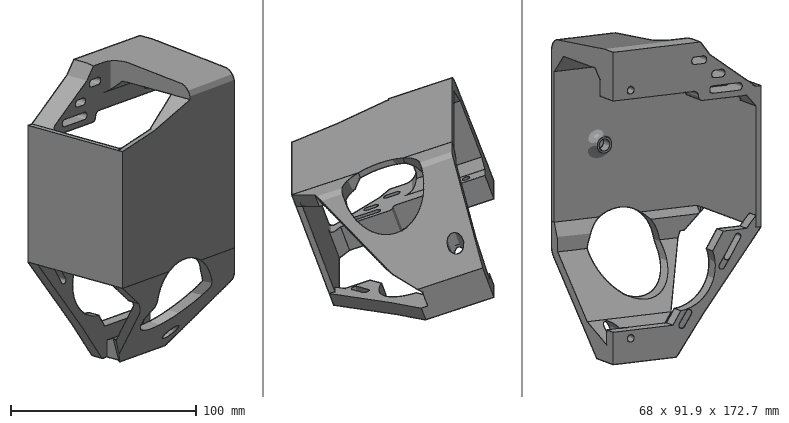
import cadquery as cq
import math

WIDTH = 68.0
DEPTH = 91.9
HEIGHT = 172.7

PLATE_THICKNESS = 3.3
SIDE_THICKNESS = 3.3
UPPER_ARM_THICKNESS = 14.5
LOWER_ARM_THICKNESS = 7.3
LOWER_SIDE_THICKNESS = 7.0
CORNER_FILLET = 2.8

PLATE_BOTTOM = 66.7
PLATE_TOP = 144.5
SLAB_FRONT = 55.5
SLAB_UNDERSIDE = 160.3
SIDE_STEP_Y = 25.9
SIDE_STEP_Z = 150.0
GUSSET_RUN = 5.9
GUSSET_RISE = 6.5
SIDE_INNER_X = WIDTH - SIDE_THICKNESS
LOWER_SIDE_INNER_X = WIDTH - LOWER_SIDE_THICKNESS

ARM_NOSE_Y = 31.8
ARM_NOSE_Z = 165.1
ARM_TOP_FRONT_Y = 37.7
WINDOW_TOP = 145.8
STEP_Y = 39.0
STEP_RADIUS = 2.8

ARM_BEND_Y = 36.1
ARM_BEND_Z = 22.1
ARM_HEEL_Y = 51.8
ARM_HEEL_CHAMFER = 1.0
WINDOW_BOTTOM = 18.0
WINDOW_BOTTOM_FRONT_Y = 54.8
WINDOW_SLOPE_TOP_Y = 23.5

RIDGE_X = 9.2
SHOULDER_X = 62.2
SHOULDER_Z = 168.0
SHOULDER_RUN = WIDTH - SHOULDER_X
SHOULDER_RISE = SHOULDER_Z - SLAB_UNDERSIDE
SHOULDER_RADIUS = (SHOULDER_RUN**2 + SHOULDER_RISE**2) / (2 * SHOULDER_RUN)
ROOF_SLOPE = (SHOULDER_Z - HEIGHT) / (SHOULDER_X - RIDGE_X)
SLAB_CORNER_RADIUS = 9.5
SLAB_CHAMFER = 5.4

BORE_Y = 51.1
BORE_Z = 48.0
BORE_RADIUS = 22.6

SCREW_Y = 81.0
SCREW_HOLE_DIAMETER = 4.1
UPPER_SCREW_Z = 150.6
LOWER_SCREW_Z = 13.5
SCREW_BOSS_DIAMETER = 9.0
SCREW_BOSS_HEIGHT = 0.9
BOSS_Y = 64.6
BOSS_Z = 107.8
BOSS_DIAMETER = 9.0
BOSS_HOLE_DIAMETER = 6.5
BOSS_FLARE_RADIUS = 4.1
BOSS_HEIGHT = 6.9

UPPER_SLOT_WIDTH = 4.1
UPPER_SLOTS = [
    ((36.0, 162.7), (41.1, 162.7)),
    ((24.5, 154.0), (28.7, 154.0)),
    ((13.8, 145.6), (29.9, 145.6)),
]
LOWER_SLOT_WIDTH = 3.6
LOWER_SLOT = ((14.5, 62.7), (21.0, 52.3))
BLIND_SLOTS = [
    ((21.0, 52.3), (24.4, 47.5)),
    ((44.9, 23.8), (49.2, 17.5)),
]
BLIND_SLOT_DEPTH = 0.2

FLOOR_LEFT_Z = 9.7
FLOOR_BEND_X = 28.5
FLOOR_BEND_Z = 18.5
DIAGONAL_TOP_Z = FLOOR_BEND_Z + LOWER_SIDE_INNER_X - FLOOR_BEND_X
OUTER_FOOT_X = 18.1
OUTER_CORNER_RADIUS = 8.6
FLOOR_FRONT_Y = 56.5
STRIP_BEND_Y = 39.9
STRIP_SLOPE = 0.35
TOE_FOOT_Y = 54.4
TOE_SLOPE_X = 0.87
TOE_SLOPE_Z = 0.3
SIDE_FOOT_Z = 54.5
LEDGE_FRONT_Z = 62.9
LEDGE_BACK_X = 62.0
LEDGE_BACK_Z = 59.8
LEDGE_ARC_X = 61.3
LEDGE_ARC_Z = 58.0
LEDGE_BACK_END_Z = 56.0


def prism_along_x(points, x_start, x_end):
    """Straight-sided (Y, Z) outline swept from x_start to x_end."""
    outline = cq.Workplane("YZ").workplane(offset=x_start).polyline(points).close()
    return outline.extrude(x_end - x_start)


def prism_along_y(points, y_start, y_end):
    """Straight-sided (X, Z) outline swept from y_start to y_end."""
    outline = cq.Workplane("XZ").workplane(offset=-y_start).polyline(points).close()
    return outline.extrude(y_start - y_end)


def block(x_start, x_end, y_start, y_end, z_start, z_end):
    size = (x_end - x_start, y_end - y_start, z_end - z_start)
    return cq.Workplane("XY").box(*size, centered=False).translate((x_start, y_start, z_start))


def rod_along_x(y, z, diameter, x_start, x_end):
    rod = cq.Workplane("YZ").workplane(offset=x_start).center(y, z).circle(diameter / 2)
    return rod.extrude(x_end - x_start)


def slot_along_x(ends, width, depth):
    """Round-ended slot between two end centres, cut inward from the X = 0 face."""
    (y_a, z_a), (y_b, z_b) = ends
    length = math.hypot(y_b - y_a, z_b - z_a) + width
    angle = math.degrees(math.atan2(z_b - z_a, y_b - y_a))
    middle = cq.Workplane("YZ").center((y_a + y_b) / 2, (z_a + z_b) / 2)
    return middle.slot2D(length, width, angle).extrude(depth)


def side_bore():
    return rod_along_x(BORE_Y, BORE_Z, 2 * BORE_RADIUS, 0, WIDTH)




def roof_slab():
    """Sloping roof with a rounded right shoulder and chamfered inner corners."""
    right_chamfer = SLAB_UNDERSIDE - SIDE_STEP_Z
    outline = (
        cq.Workplane("XZ")
        .workplane(offset=-DEPTH)
        .moveTo(UPPER_ARM_THICKNESS, SLAB_UNDERSIDE - SLAB_CHAMFER)
        .lineTo(UPPER_ARM_THICKNESS + SLAB_CHAMFER, SLAB_UNDERSIDE)
        .lineTo(SIDE_INNER_X - right_chamfer, SLAB_UNDERSIDE)
        .lineTo(SIDE_INNER_X, SIDE_STEP_Z)
        .lineTo(WIDTH, SIDE_STEP_Z)
        .lineTo(WIDTH, SLAB_UNDERSIDE)
        .radiusArc((SHOULDER_X, SHOULDER_Z), -SHOULDER_RADIUS)
        .lineTo(RIDGE_X, HEIGHT)
        .lineTo(0, HEIGHT)
        .lineTo(0, SLAB_UNDERSIDE - SLAB_CHAMFER)
        .close()
    )
    arm_zone = block(0, UPPER_ARM_THICKNESS, 0, DEPTH, 0, HEIGHT)
    return outline.extrude(DEPTH).cut(arm_zone)


def roof_opening():
    """Space in front of the roof, above the sloping top edge of the side wall."""
    r = SLAB_CORNER_RADIUS
    plan = (
        cq.Workplane("XY")
        .moveTo(UPPER_ARM_THICKNESS, 0)
        .lineTo(UPPER_ARM_THICKNESS, SLAB_FRONT - r)
        .radiusArc((UPPER_ARM_THICKNESS + r, SLAB_FRONT), r)
        .lineTo(WIDTH, SLAB_FRONT)
        .lineTo(WIDTH, 0)
        .close()
        .extrude(HEIGHT)
    )
    above_side_wall = prism_along_x(
        [
            (0, PLATE_TOP),
            (SIDE_STEP_Y, SIDE_STEP_Z),
            (SLAB_FRONT, SLAB_UNDERSIDE),
            (SLAB_FRONT, HEIGHT),
            (0, HEIGHT),
        ],
        0,
        WIDTH,
    )
    away_from_side_wall = block(0, WIDTH / 2, 0, SLAB_FRONT, 0, HEIGHT)
    return plan.intersect(above_side_wall.union(away_from_side_wall))


def upper_arm_outline():
    """(Y, Z) outline of the left wall above the window, with its sloping front edge."""
    r = STEP_RADIUS
    step_bottom = WINDOW_TOP - 2 * r
    return (
        cq.Workplane("YZ")
        .moveTo(0, step_bottom - GUSSET_RISE)
        .lineTo(0, PLATE_TOP)
        .lineTo(PLATE_THICKNESS, PLATE_TOP)
        .lineTo(ARM_NOSE_Y, ARM_NOSE_Z)
        .lineTo(ARM_TOP_FRONT_Y, HEIGHT)
        .lineTo(DEPTH, HEIGHT)
        .lineTo(DEPTH, WINDOW_TOP)
        .lineTo(STEP_Y + r, WINDOW_TOP)
        .radiusArc((STEP_Y, WINDOW_TOP - r), -r)
        .radiusArc((STEP_Y - r, step_bottom), r)
        .lineTo(PLATE_THICKNESS + GUSSET_RUN, step_bottom)
        .lineTo(PLATE_THICKNESS, step_bottom - GUSSET_RISE)
        .close()
    )


def upper_arm():
    """Left wall above the window, trimmed to the slope of the roof."""
    roof_z = HEIGHT + (UPPER_ARM_THICKNESS - RIDGE_X) * ROOF_SLOPE
    above_roof = prism_along_y(
        [(RIDGE_X, HEIGHT), (UPPER_ARM_THICKNESS, HEIGHT), (UPPER_ARM_THICKNESS, roof_z)], 0, DEPTH
    )
    return upper_arm_outline().extrude(UPPER_ARM_THICKNESS).cut(above_roof)


def flared_boss():
    """Boss on the inside of the side wall, blending into it with a concave flare."""
    r = BOSS_DIAMETER / 2
    base_r = r + BOSS_FLARE_RADIUS
    profile = (
        cq.Workplane("XY")
        .moveTo(0, 0)
        .lineTo(0, base_r)
        .radiusArc((-BOSS_FLARE_RADIUS, r), BOSS_FLARE_RADIUS)
        .lineTo(-BOSS_HEIGHT, r)
        .lineTo(-BOSS_HEIGHT, 0)
        .close()
    )
    boss = profile.revolve(360, (0, 0, 0), (1, 0, 0))
    return boss.translate((SIDE_INNER_X, BOSS_Y, BOSS_Z))


def plate_corner_blend(wall_x, direction, z_end):
    """Concave blend between the front plate and a wall face; direction points off the wall."""
    r = CORNER_FILLET
    blend = (
        cq.Workplane("XY")
        .workplane(offset=PLATE_BOTTOM)
        .moveTo(wall_x, PLATE_THICKNESS)
        .lineTo(wall_x, PLATE_THICKNESS + r)
        .radiusArc((wall_x + direction * r, PLATE_THICKNESS), -direction * r)
        .close()
    )
    return blend.extrude(z_end - PLATE_BOTTOM)


def arm_corner_blend():
    """Blend beside the upper arm, ending where the arm's outline ends."""
    arm_zone = upper_arm_outline().extrude(UPPER_ARM_THICKNESS + CORNER_FILLET)
    return plate_corner_blend(UPPER_ARM_THICKNESS, 1, HEIGHT).intersect(arm_zone)


def make_housing():
    body = roof_slab().union(upper_arm())
    body = body.union(block(SIDE_INNER_X, WIDTH, 0, DEPTH, PLATE_BOTTOM, SLAB_UNDERSIDE))
    body = body.cut(roof_opening())
    body = body.union(block(0, WIDTH, 0, PLATE_THICKNESS, PLATE_BOTTOM, PLATE_TOP))
    body = body.union(plate_corner_blend(SIDE_INNER_X, -1, PLATE_TOP)).union(arm_corner_blend())
    body = body.union(flared_boss())
    boss_hole = rod_along_x(
        BOSS_Y, BOSS_Z, BOSS_HOLE_DIAMETER, SIDE_INNER_X - BOSS_HEIGHT, SIDE_INNER_X
    )
    body = body.cut(boss_hole).cut(side_bore())
    for ends in UPPER_SLOTS:
        body = body.cut(slot_along_x(ends, UPPER_SLOT_WIDTH, UPPER_ARM_THICKNESS))
    screw_hole = rod_along_x(
        SCREW_Y, UPPER_SCREW_Z, SCREW_HOLE_DIAMETER, 0, UPPER_ARM_THICKNESS
    )
    return body.cut(screw_hole)




def lower_arm():
    """Left wall below the window, with a gusset that stands behind the front plate."""
    return prism_along_x(
        [
            (0, PLATE_BOTTOM),
            (ARM_BEND_Y, ARM_BEND_Z),
            (ARM_HEEL_Y, ARM_HEEL_CHAMFER),
            (ARM_HEEL_Y + ARM_HEEL_CHAMFER, 0),
            (DEPTH, 0),
            (DEPTH, WINDOW_BOTTOM),
            (WINDOW_BOTTOM_FRONT_Y, WINDOW_BOTTOM),
            (WINDOW_SLOPE_TOP_Y, PLATE_BOTTOM),
            (PLATE_THICKNESS + GUSSET_RUN, PLATE_BOTTOM),
            (PLATE_THICKNESS, PLATE_BOTTOM + GUSSET_RISE),
            (PLATE_THICKNESS, PLATE_BOTTOM),
        ],
        0,
        LOWER_ARM_THICKNESS,
    )


def floor_and_diagonal():
    """Floor, diagonal wall and thickened foot of the side wall."""
    corner_z = WIDTH - OUTER_FOOT_X
    floor = (
        prism_along_y(
            [
                (0, 0),
                (OUTER_FOOT_X, 0),
                (WIDTH, corner_z),
                (WIDTH, PLATE_BOTTOM),
                (SIDE_INNER_X, PLATE_BOTTOM),
                (LOWER_SIDE_INNER_X, LEDGE_FRONT_Z),
                (LOWER_SIDE_INNER_X, DIAGONAL_TOP_Z),
                (FLOOR_BEND_X, FLOOR_BEND_Z),
                (LOWER_ARM_THICKNESS, FLOOR_LEFT_Z),
                (0, FLOOR_LEFT_Z),
            ],
            0,
            DEPTH,
        )
        .edges(cq.selectors.NearestToPointSelector((WIDTH, DEPTH / 2, corner_z)))
        .fillet(OUTER_CORNER_RADIUS)
    )
    under_plate = block(
        LOWER_SIDE_INNER_X, SIDE_INNER_X, 0, PLATE_THICKNESS, LEDGE_FRONT_Z, PLATE_BOTTOM
    )
    return floor.union(under_plate).cut(front_space()).cut(ledge_relief())


def back_ledge():
    """Longer, rounded ramp that replaces the short one behind the bore's centre."""
    ramp = (
        cq.Workplane("XZ")
        .workplane(offset=-DEPTH)
        .moveTo(SIDE_INNER_X, PLATE_BOTTOM)
        .lineTo(LEDGE_BACK_X, LEDGE_BACK_Z)
        .threePointArc((LEDGE_ARC_X, LEDGE_ARC_Z), (LOWER_SIDE_INNER_X, LEDGE_BACK_END_Z))
        .lineTo(SIDE_INNER_X, LEDGE_BACK_END_Z)
        .close()
    )
    return ramp.extrude(DEPTH - BORE_Y)


def ledge_relief():
    """Removes the short ramp where the longer one takes its place."""
    return block(0, SIDE_INNER_X, BORE_Y, DEPTH, LEDGE_BACK_END_Z, PLATE_BOTTOM)


def strip_front_y(x, z):
    """Y of the diagonal wall's front edge, a plane square to the wall."""
    return STRIP_BEND_Y - STRIP_SLOPE * (x - FLOOR_BEND_X + z - FLOOR_BEND_Z)


def toe_front_y(x, z):
    """Y of the oblique plane that joins the diagonal wall's front to the floor's."""
    return TOE_FOOT_Y - TOE_SLOPE_X * (x - OUTER_FOOT_X) - TOE_SLOPE_Z * z


def space_in_front_of(front_y, x_start, x_end):
    """Space on the -Y side of the plane y = front_y(x, z), between two X positions."""
    z_low = 0
    z_high = PLATE_BOTTOM
    y_far = -DEPTH
    sections = []
    for x in (x_start, x_end):
        corners = [
            (x, y_far, z_low),
            (x, front_y(x, z_low), z_low),
            (x, front_y(x, z_high), z_high),
            (x, y_far, z_high),
        ]
        sections.append(cq.Wire.makePolygon([cq.Vector(*c) for c in corners], close=True))
    return cq.Workplane(cq.Solid.makeLoft(sections, True))


def front_space():
    """Everything cut away in front of the floor, the diagonal wall and the side wall."""
    before_floor = block(0, WIDTH, 0, FLOOR_FRONT_Y, 0, PLATE_BOTTOM)
    before_toe = space_in_front_of(toe_front_y, 0, WIDTH)
    before_strip = space_in_front_of(strip_front_y, 0, WIDTH)
    before_side = prism_along_x(
        [
            (0, PLATE_BOTTOM),
            (strip_front_y(WIDTH, SIDE_FOOT_Z), SIDE_FOOT_Z),
            (DEPTH, SIDE_FOOT_Z),
            (DEPTH, 0),
            (0, 0),
        ],
        0,
        WIDTH,
    )
    before_wall = before_toe.union(before_strip)
    return before_wall.intersect(before_floor).intersect(before_side)


def make_lower_bracket():
    body = floor_and_diagonal().union(back_ledge()).union(lower_arm())
    boss_top_x = LOWER_ARM_THICKNESS + SCREW_BOSS_HEIGHT
    boss = rod_along_x(
        SCREW_Y, LOWER_SCREW_Z, SCREW_BOSS_DIAMETER, LOWER_ARM_THICKNESS, boss_top_x
    )
    driver_channel = rod_along_x(SCREW_Y, LOWER_SCREW_Z, SCREW_BOSS_DIAMETER, boss_top_x, WIDTH)
    screw_hole = rod_along_x(SCREW_Y, LOWER_SCREW_Z, SCREW_HOLE_DIAMETER, 0, boss_top_x)
    body = body.union(boss).cut(driver_channel).cut(screw_hole)
    body = body.cut(slot_along_x(LOWER_SLOT, LOWER_SLOT_WIDTH, LOWER_ARM_THICKNESS))
    for ends in BLIND_SLOTS:
        body = body.cut(slot_along_x(ends, LOWER_SLOT_WIDTH, BLIND_SLOT_DEPTH))
    return body.cut(side_bore())


housing = make_housing()
lower_bracket = make_lower_bracket()
result = cq.Compound.makeCompound([housing.val(), lower_bracket.val()])